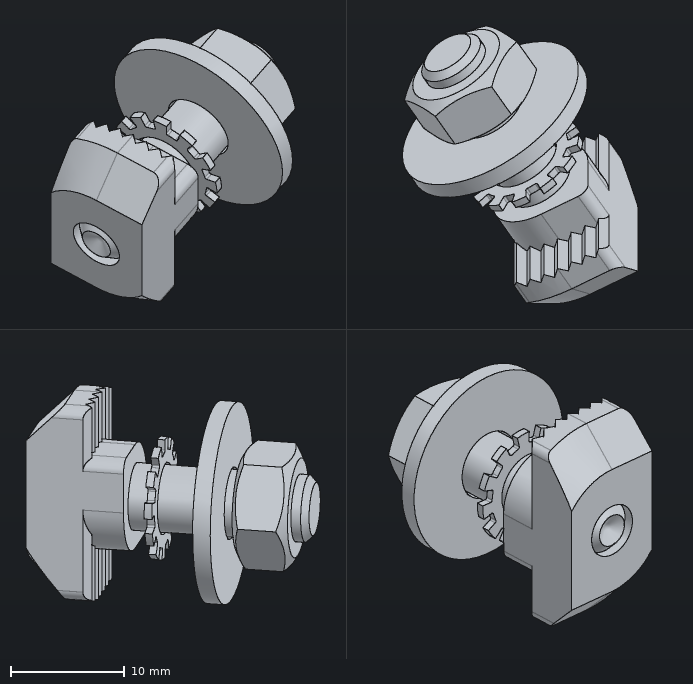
import cadquery as cq
import math


stud_length = 25.0
stud_diameter = 6.0
thread_core_diameter = 4.92
stud_end_chamfer = 0.62
tip_rim_diameter = 3.0
tip_dimple_angle = 120.0

head_width = 9.72
head_height = 19.0
wing_thickness = 5.8
head_depth = 8.8
bevel_depth = 3.3
bevel_angle = 45.0
corner_radius = 1.0
neck_arc_radius = 4.95
neck_upper_corner_radius = 1.15
serration_count = 7
serration_pitch = 1.4
serration_depth = serration_pitch / 2

washer_bore = 6.4

lock_washer_front = 10.8
lock_washer_thickness = 0.7
lock_washer_diameter = 11.0
lock_washer_root_diameter = 8.75
lock_washer_root_fillet = 0.18
lock_tooth_count = 12
lock_tooth_turn = 6.3

washer_front = 15.92
washer_thickness = 1.6
washer_diameter = 18.0

nut_front = 18.5
nut_thickness = 5.0
nut_across_flats = 10.0
nut_face_diameter = 8.85
nut_chamfer_angle = 30.0
nut_turn = -3.5


def section_ending_at(y_back):
    """Workplane across the axis; shapes extruded from it grow forward, toward -Y."""
    return cq.Workplane("XZ", origin=(0, y_back, 0))


def turned_about_axis(profile_points):
    """Solid of revolution about the Y axis from (radius, y) points."""
    return cq.Workplane("XY").polyline(profile_points).close().revolve(360, (0, 0, 0), (0, 1, 0))


def make_stud():
    """Stud with a core-diameter shank in the head and a dimpled, chamfered tip."""
    radius = stud_diameter / 2
    core_radius = thread_core_diameter / 2
    tip_radius = tip_rim_diameter / 2
    tip_chamfer = core_radius - tip_radius
    dimple_depth = tip_radius / math.tan(math.radians(tip_dimple_angle / 2))
    return turned_about_axis([
        (0, dimple_depth),
        (tip_radius, 0),
        (core_radius, tip_chamfer),
        (core_radius, head_depth),
        (radius, head_depth),
        (radius, stud_length - stud_end_chamfer),
        (radius - stud_end_chamfer, stud_length),
        (0, stud_length),
    ])


def wing_outline(y_back):
    """Outline with two opposite square quadrants and two opposite round quadrants."""
    reach = head_height / 2
    arc_middle = reach * math.sqrt(0.5)
    return (
        section_ending_at(y_back)
        .moveTo(0, reach)
        .lineTo(reach, reach)
        .lineTo(reach, 0)
        .threePointArc((arc_middle, -arc_middle), (0, -reach))
        .lineTo(-reach, -reach)
        .lineTo(-reach, 0)
        .threePointArc((-arc_middle, arc_middle), (0, reach))
        .close()
    )


def make_wings():
    """Bar across the slot: rounded at the corners and bevelled at 45 degrees to the front face."""
    slab = section_ending_at(wing_thickness).rect(head_width, head_height).extrude(wing_thickness)
    bar = wing_outline(wing_thickness).extrude(wing_thickness).intersect(slab)
    bar = bar.edges("|Y").edges("<X or >X").fillet(corner_radius)
    bevelled = wing_outline(bevel_depth).extrude(bevel_depth, taper=bevel_angle)
    straight = wing_outline(wing_thickness).extrude(wing_thickness - bevel_depth)
    return bar.intersect(bevelled.union(straight))


def cut_serrations(wings):
    """V grooves along Z in the back of the wings, leaving whole teeth across the width."""
    valley = wing_thickness - serration_depth
    for index in range(serration_count + 1):
        x = (index - serration_count / 2) * serration_pitch
        groove = (
            cq.Workplane("XY", origin=(x, 0, -head_height / 2))
            .moveTo(0, valley)
            .lineTo(serration_pitch / 2, wing_thickness)
            .lineTo(-serration_pitch / 2, wing_thickness)
            .close()
            .extrude(head_height)
        )
        wings = wings.cut(groove)
    return wings


def make_neck():
    """Square neck that turns inside the slot: two opposite corners carry a large radius."""
    half = head_width / 2
    neck = section_ending_at(head_depth).rect(head_width, head_width).extrude(head_depth - bevel_depth)
    corner_radii = [
        (-half, half, neck_arc_radius),
        (half, -half, neck_arc_radius),
        (half, half, neck_upper_corner_radius),
        (-half, -half, corner_radius),
    ]
    for x, z, radius in corner_radii:
        corner = cq.selectors.NearestToPointSelector((x, head_depth / 2, z))
        neck = neck.edges("|Y").edges(corner).fillet(radius)
    return neck


def make_head():
    """Serrated wings and neck in one piece, bored through for the stud shank."""
    bore = section_ending_at(head_depth).circle(thread_core_diameter / 2).extrude(head_depth)
    return cut_serrations(make_wings()).union(make_neck()).cut(bore)


def make_tooth_gap(y_back):
    """Gap between two radial tooth flanks, centred on +X, with its root corners filleted."""
    half_gap = math.radians(360 / lock_tooth_count / 4)
    root = lock_washer_root_diameter / 2
    root_x = root * math.cos(half_gap)
    root_z = root * math.sin(half_gap)
    outer_x = lock_washer_diameter
    outer_z = outer_x * math.tan(half_gap)
    return (
        section_ending_at(y_back)
        .moveTo(root_x, -root_z)
        .lineTo(outer_x, -outer_z)
        .lineTo(outer_x, outer_z)
        .lineTo(root_x, root_z)
        .threePointArc((root, 0), (root_x, -root_z))
        .close()
        .extrude(lock_washer_thickness)
        .edges("|Y")
        .edges("<X")
        .fillet(lock_washer_root_fillet)
    )


def make_lock_washer():
    """Externally toothed ring whose teeth and gaps take equal angles."""
    y_back = lock_washer_front + lock_washer_thickness
    ring = (
        section_ending_at(y_back)
        .circle(lock_washer_diameter / 2)
        .circle(washer_bore / 2)
        .extrude(lock_washer_thickness)
    )
    gap = make_tooth_gap(y_back)
    pitch_angle = 360 / lock_tooth_count
    for index in range(lock_tooth_count):
        angle = lock_tooth_turn + (index + 0.5) * pitch_angle
        ring = ring.cut(gap.rotate((0, 0, 0), (0, 1, 0), -angle))
    return ring


def make_washer():
    """Plain flat ring."""
    return (
        section_ending_at(washer_front + washer_thickness)
        .circle(washer_diameter / 2)
        .circle(washer_bore / 2)
        .extrude(washer_thickness)
    )


def make_nut():
    """Hexagon nut with conical chamfers on both faces."""
    y_back = nut_front + nut_thickness
    hexagon_radius = nut_across_flats / 2 / math.cos(math.radians(30))
    face_radius = nut_face_diameter / 2
    chamfer_height = (hexagon_radius - face_radius) * math.tan(math.radians(nut_chamfer_angle))
    hexagon = (
        section_ending_at(y_back)
        .polygon(6, 2 * hexagon_radius)
        .extrude(nut_thickness)
        .rotate((0, 0, 0), (0, 1, 0), -nut_turn)
    )
    chamfers = turned_about_axis([
        (0, nut_front),
        (face_radius, nut_front),
        (hexagon_radius, nut_front + chamfer_height),
        (hexagon_radius, y_back - chamfer_height),
        (face_radius, y_back),
        (0, y_back),
    ])
    bore = section_ending_at(y_back).circle(stud_diameter / 2).extrude(nut_thickness)
    return hexagon.intersect(chamfers).cut(bore)


stud = make_stud()
head = make_head()
lock_washer = make_lock_washer()
washer = make_washer()
nut = make_nut()

result = cq.Compound.makeCompound([
    stud.val(),
    head.val(),
    lock_washer.val(),
    washer.val(),
    nut.val(),
])